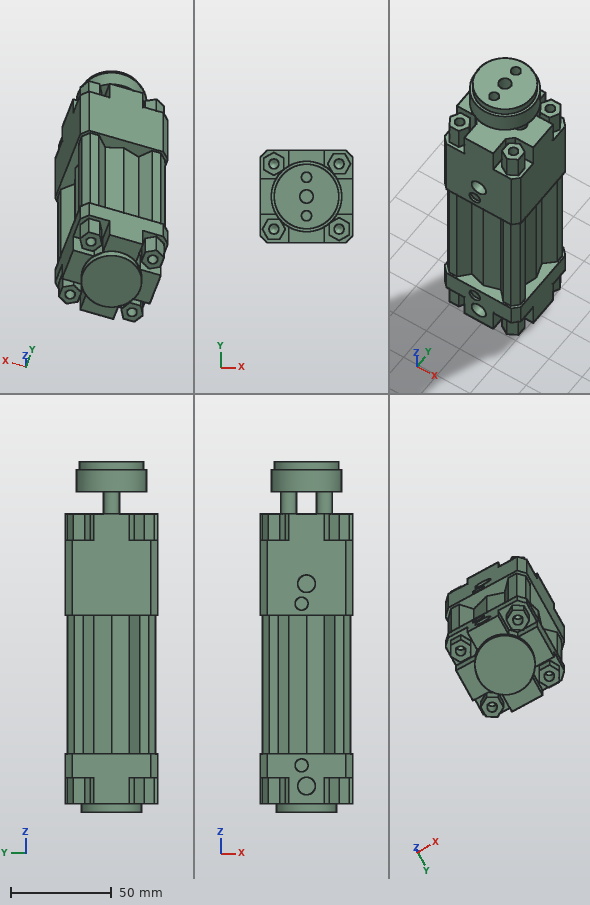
import cadquery as cq
import math

BLOCK_WIDTH = 46.0
BLOCK_CHAMFER = 3.5
HOUSING_BOTTOM = 4.2
LOWER_BLOCK_TOP = 29.0
UPPER_BLOCK_BOTTOM = 97.8
HOUSING_TOP = 148.0
SPIGOT_DIAMETER = 30.0

BARREL_WIDTH = 43.7
BARREL_CHAMFER = 3.3
FLUTE_HALF_WIDTH = 14.0
FLUTE_FLOOR_HALF_WIDTH = 8.7
FLUTE_DEPTH = 5.5
RIDGE_DEPTH = 3.0

POCKET_DEPTH = 13.0
POCKET_INNER = 8.7
POCKET_CORNER = 3.3
NUT_OFFSET = 16.2
NUT_ACROSS_FLATS = 10.0
HALF_HEX_ANGLE = 30
NUT_HOLE_DIAMETER = 4.9
NUT_HOLE_DEPTH = 15.7
DRILL_POINT_ANGLE = 118

PORT_DIAMETER = 8.7
PORT_DEPTH = 10.5
PORT_HEIGHTS = (13.0, 113.5)
SCREW_DIAMETER = 6.5
SCREW_DEPTH = 1.4
SCREW_X = -2.5
SCREW_HEIGHTS = (23.3, 103.5)

HEAD_DIAMETER = 35.0
HEAD_BOTTOM = 159.0
HEAD_SHOULDER = 170.0
HEAD_TOP = 174.0
HEAD_RIM_DIAMETER = 32.0
ROD_DIAMETER = 8.0
ROD_X = 8.9
CENTRE_HOLE_DIAMETER = 6.6
SIDE_HOLE_DIAMETER = 5.0
SIDE_HOLE_Y = 9.5


def cylinder(diameter, bottom, top, x=0, y=0):
    """Upright cylinder between two heights."""
    return cq.Workplane("XY", origin=(x, y, bottom)).circle(diameter / 2).extrude(top - bottom)


def end_block(bottom, top):
    """Square block with chamfered upright edges."""
    block = cq.Workplane("XY", origin=(0, 0, bottom)).rect(BLOCK_WIDTH, BLOCK_WIDTH).extrude(top - bottom)
    return block.edges("|Z").chamfer(BLOCK_CHAMFER)


def barrel():
    """Square barrel with a wide flute and a low centre ridge along each side."""
    half = BARREL_WIDTH / 2
    side = [
        (-half + BARREL_CHAMFER, -half),
        (-FLUTE_HALF_WIDTH, -half),
        (-FLUTE_FLOOR_HALF_WIDTH, -half + FLUTE_DEPTH),
        (0, -half + RIDGE_DEPTH),
        (FLUTE_FLOOR_HALF_WIDTH, -half + FLUTE_DEPTH),
        (FLUTE_HALF_WIDTH, -half),
        (half - BARREL_CHAMFER, -half),
    ]
    outline = []
    for _ in range(4):
        outline += side
        side = [(-y, x) for x, y in side]
    profile = cq.Workplane("XY", origin=(0, 0, LOWER_BLOCK_TOP)).polyline(outline).close()
    return profile.extrude(UPPER_BLOCK_BOTTOM - LOWER_BLOCK_TOP)


def corner_pocket(sign_x, sign_y, bottom):
    """Cutter for one open corner, bevelled where its two walls meet."""
    size = BLOCK_WIDTH / 2
    centre = POCKET_INNER + size / 2
    cutter = cq.Workplane("XY", origin=(centre, centre, bottom)).rect(size, size).extrude(POCKET_DEPTH)
    cutter = cutter.edges("|Z and <X and <Y").chamfer(POCKET_CORNER)
    if sign_x < 0:
        cutter = cutter.mirror("YZ")
    if sign_y < 0:
        cutter = cutter.mirror("XZ")
    return cutter


def nut(sign_x, sign_y, bottom):
    """Hexagonal nut; opposite corners of the block share an orientation."""
    across_corners = NUT_ACROSS_FLATS / math.cos(math.radians(HALF_HEX_ANGLE))
    turn = 0 if sign_x == sign_y else HALF_HEX_ANGLE
    hexagon = cq.Workplane("XY").polygon(6, across_corners).extrude(POCKET_DEPTH)
    hexagon = hexagon.rotate((0, 0, 0), (0, 0, 1), turn)
    return hexagon.translate((sign_x * NUT_OFFSET, sign_y * NUT_OFFSET, bottom))


def nut_hole(sign_x, sign_y, mouth, direction):
    """Cutter for a blind drilled hole with a conical end; direction is the way it runs along Z."""
    radius = NUT_HOLE_DIAMETER / 2
    tip = radius / math.tan(math.radians(DRILL_POINT_ANGLE / 2))
    half_section = cq.Workplane("XZ").polyline([
        (0, 0),
        (radius, 0),
        (radius, direction * NUT_HOLE_DEPTH),
        (0, direction * (NUT_HOLE_DEPTH + tip)),
    ]).close()
    drill = half_section.revolve(360, (0, 0, 0), (0, 1, 0))
    return drill.translate((sign_x * NUT_OFFSET, sign_y * NUT_OFFSET, mouth))


def side_hole(diameter, depth, x, z):
    """Cutter for a blind hole in the -Y side."""
    return cq.Workplane("XZ", origin=(x, -BLOCK_WIDTH / 2, z)).circle(diameter / 2).extrude(-depth)


def make_housing():
    body = end_block(HOUSING_BOTTOM, LOWER_BLOCK_TOP)
    body = body.union(barrel())
    body = body.union(end_block(UPPER_BLOCK_BOTTOM, HOUSING_TOP))
    body = body.union(cylinder(SPIGOT_DIAMETER, 0, HOUSING_BOTTOM))

    ends = (
        (HOUSING_BOTTOM, HOUSING_BOTTOM, 1),
        (HOUSING_TOP - POCKET_DEPTH, HOUSING_TOP, -1),
    )
    for pocket_bottom, mouth, direction in ends:
        for sign_x in (-1, 1):
            for sign_y in (-1, 1):
                body = body.cut(corner_pocket(sign_x, sign_y, pocket_bottom))
                body = body.union(nut(sign_x, sign_y, pocket_bottom))
                body = body.cut(nut_hole(sign_x, sign_y, mouth, direction))

    for height in PORT_HEIGHTS:
        body = body.cut(side_hole(PORT_DIAMETER, PORT_DEPTH, 0, height))
    for height in SCREW_HEIGHTS:
        body = body.cut(side_hole(SCREW_DIAMETER, SCREW_DEPTH, SCREW_X, height))
    return body


def make_moving_head():
    head = cylinder(HEAD_DIAMETER, HEAD_BOTTOM, HEAD_SHOULDER)
    head = head.union(cylinder(HEAD_RIM_DIAMETER, HEAD_SHOULDER, HEAD_TOP))
    head = head.cut(cylinder(CENTRE_HOLE_DIAMETER, HEAD_BOTTOM, HEAD_TOP))
    for y in (-SIDE_HOLE_Y, SIDE_HOLE_Y):
        head = head.cut(cylinder(SIDE_HOLE_DIAMETER, HEAD_BOTTOM, HEAD_TOP, y=y))
    for x in (-ROD_X, ROD_X):
        head = head.union(cylinder(ROD_DIAMETER, HOUSING_TOP, HEAD_BOTTOM, x=x))
    return head


housing = make_housing()
moving_head = make_moving_head()

result = cq.Compound.makeCompound([housing.val(), moving_head.val()])